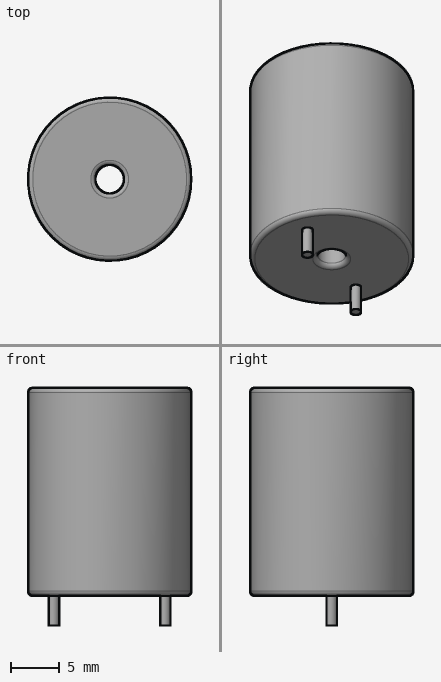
import cadquery as cq

total_height = 24.45
body_diameter = 16.8
pin_length = 3.05
body_height = total_height - pin_length

bore_diameter = 2.9
edge_radius = 0.5

pin_diameter = 1.1
pin_spacing = 11.45


def make_body():
    """Bored cylinder standing on Z = 0, rounded at the rims and bore mouths."""
    return (
        cq.Workplane("XY")
        .circle(body_diameter / 2)
        .circle(bore_diameter / 2)
        .extrude(body_height)
        .faces("<Z or >Z")
        .edges()
        .fillet(edge_radius)
    )


def make_pins():
    """Pair of round pins hanging below Z = 0."""
    return (
        cq.Workplane("XY")
        .pushPoints([(side * pin_spacing / 2, 0) for side in (-1, 1)])
        .circle(pin_diameter / 2)
        .extrude(-pin_length)
    )


result = make_body().union(make_pins())